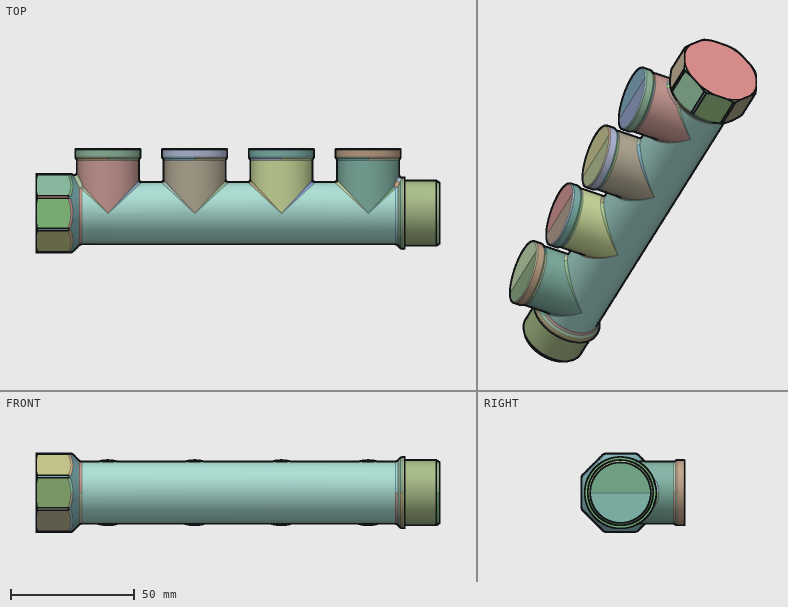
import cadquery as cq
import math

total_length = 163.0
outlet_end_y = 26.0
outlet_count = 4
outlet_pitch = 35.0
first_outlet_x = 29.0
outlet_positions = [first_outlet_x + i * outlet_pitch for i in range(outlet_count)]

tube_radius = 12.6
junction_fillet = 1.0

octagon_sides = 8
octagon_across_flats = 31.8
octagon_flat_radius = octagon_across_flats / 2
octagon_corner_radius = 17.0
octagon_flat_length = 14.5
octagon_face_radius = 16.15
octagon_face_chamfer_angle = 30.0
octagon_shoulder_fillet = 1.3
shoulder_end_x = octagon_flat_length + octagon_flat_radius - tube_radius
shoulder_start_x = octagon_flat_length + octagon_flat_radius - octagon_corner_radius

ring_radius = 14.45
ring_land = 1.5
ring_end_x = 148.8
ring_start_x = ring_end_x - ring_land
cone_foot_x = ring_start_x - (ring_radius - tube_radius)
cone_fillet = 1.4
spigot_radius = 13.2
spigot_chamfer_length = 1.5
spigot_chamfer_depth = 1.0

collar_radius = 13.2
collar_land = 3.6
collar_rim_fillet = 0.5
collar_shoulder_fillet = 0.75
collar_neck_fillet = 1.2

selection_margin = 0.1
block_size = 2 * total_length


def along_x(radius, start, end):
    """Solid cylinder on the main axis between two X positions."""
    return cq.Workplane("YZ").workplane(offset=start).circle(radius).extrude(end - start)


def edges_inside(x_range, y_range, z_range):
    """Selector for edges lying wholly inside a box, widened by a small margin."""
    low, high = zip(x_range, y_range, z_range)
    return cq.selectors.BoxSelector(
        tuple(value - selection_margin for value in low),
        tuple(value + selection_margin for value in high),
        boundingbox=True,
    )


def edges_between_x(start, end):
    """Selector for edges around the main axis between two X positions."""
    across = (-octagon_across_flats, octagon_across_flats)
    return edges_inside((start, end), across, across)


def make_octagonal_end():
    """Octagon with turned corners, a chamfered end face and a conical shoulder."""
    half_turn = math.pi / octagon_sides
    face_chamfer_length = (octagon_corner_radius - octagon_face_radius) * math.tan(
        math.radians(octagon_face_chamfer_angle)
    )
    prism = (
        cq.Workplane("YZ")
        .transformed(rotate=(0, 0, math.degrees(half_turn)))
        .polygon(octagon_sides, octagon_across_flats / math.cos(half_turn))
        .extrude(shoulder_end_x)
    )
    envelope = (
        cq.Workplane("XY")
        .moveTo(0, 0)
        .lineTo(0, octagon_face_radius)
        .lineTo(face_chamfer_length, octagon_corner_radius)
        .lineTo(shoulder_start_x, octagon_corner_radius)
        .lineTo(shoulder_end_x, tube_radius)
        .lineTo(shoulder_end_x, 0)
        .close()
        .revolve(360, (0, 0, 0), (1, 0, 0))
    )
    shoulder_edges = edges_between_x(shoulder_start_x, octagon_flat_length)
    return prism.intersect(envelope).edges(shoulder_edges).fillet(octagon_shoulder_fillet)


def make_ring_and_spigot():
    """Cone rising to the ring, followed by the chamfered spigot."""
    ring = (
        cq.Workplane("XY")
        .moveTo(cone_foot_x, 0)
        .lineTo(cone_foot_x, tube_radius)
        .lineTo(ring_start_x, ring_radius)
        .lineTo(ring_end_x, ring_radius)
        .lineTo(ring_end_x, 0)
        .close()
        .revolve(360, (0, 0, 0), (1, 0, 0))
    )
    spigot = along_x(spigot_radius, ring_end_x, total_length)
    spigot = spigot.faces(">X").chamfer(spigot_chamfer_length, spigot_chamfer_depth)
    return ring.union(spigot)


def make_main_body():
    """Octagonal end, tube, ring and spigot, with the cone edges rounded."""
    body = make_octagonal_end()
    body = body.union(along_x(tube_radius, shoulder_end_x, cone_foot_x))
    body = body.union(make_ring_and_spigot())
    cone_edges = edges_between_x(shoulder_end_x, ring_start_x)
    return body.edges(cone_edges).edges("%CIRCLE").fillet(cone_fillet)


def make_outlet(x):
    """Outlet cylinder with a rounded collar at its mouth."""
    shoulder_y = outlet_end_y - collar_land
    neck_y = shoulder_y - (collar_radius - tube_radius)
    outlet = (
        cq.Workplane("YZ", origin=(x, 0, 0))
        .moveTo(0, 0)
        .lineTo(0, tube_radius)
        .lineTo(neck_y, tube_radius)
        .lineTo(shoulder_y, collar_radius)
        .lineTo(outlet_end_y, collar_radius)
        .lineTo(outlet_end_y, 0)
        .close()
        .revolve(360, (0, 0, 0), (1, 0, 0))
    )
    for edge_y, fillet_radius in (
        (outlet_end_y, collar_rim_fillet),
        (neck_y, collar_neck_fillet),
        (shoulder_y, collar_shoulder_fillet),
    ):
        x_range = (x - collar_radius, x + collar_radius)
        z_range = (-collar_radius, collar_radius)
        edge = edges_inside(x_range, (edge_y, edge_y), z_range)
        outlet = outlet.edges(edge).fillet(fillet_radius)
    return outlet


def round_junction(half, x):
    """Round the mitred edges where one outlet leaves the body, on the upper half."""
    x_range = (x - tube_radius, x + tube_radius)
    candidates = half.edges(edges_inside(x_range, (0, octagon_flat_radius), (0, tube_radius)))
    mitred = candidates.filter(
        lambda edge: edge.geomType() not in ("LINE", "CIRCLE")
    )
    return half.newObject(mitred.vals()).fillet(junction_fillet)


body = make_main_body()
for outlet_x in outlet_positions:
    body = body.union(make_outlet(outlet_x))

upper_block = cq.Workplane("XY").box(block_size, block_size, block_size, centered=(True, True, False))
upper_half = body.intersect(upper_block)
for outlet_x in outlet_positions:
    upper_half = round_junction(upper_half, outlet_x)

result = upper_half.union(upper_half.mirror("XY"))